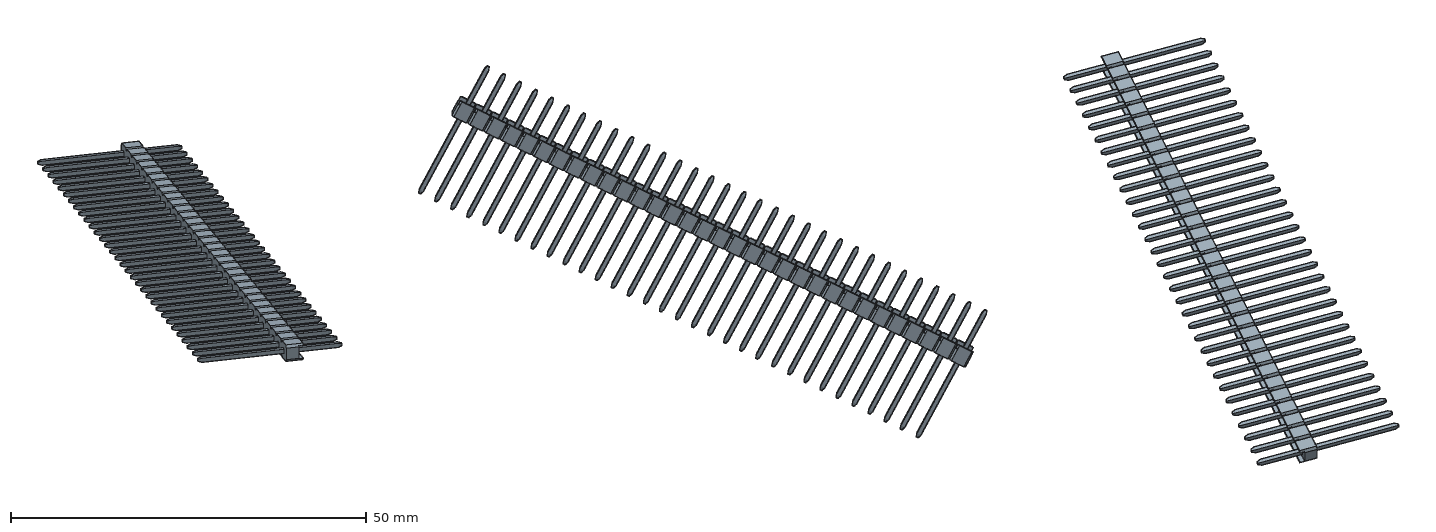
import cadquery as cq

length = 81.3
pin_count = 32
pitch = length / pin_count

body_height = 2.5
body_depth = 2.5
slant_width = 0.29
groove_depth = 0.39
half_height = body_height / 2
groove_level = half_height - groove_depth

channel_depth = 0.65
channel_overlap = 0.1
channel_height = 2 * (groove_level + channel_overlap)

pin_width = 0.64
pin_length = 21.1
back_reach = 6.0
taper_length = 0.6
tip_width = 0.3
pin_offset = -0.1

pin_back = body_depth / 2 + back_reach
pin_front = pin_back - pin_length


def make_body():
    """Row of cells extruded along Y, with the channel cut from the back face."""
    top_edge = [(-length / 2, groove_level)]
    for i in range(pin_count):
        left = i * pitch - length / 2
        right = left + pitch
        top_edge.append((left + slant_width, half_height))
        top_edge.append((right - slant_width, half_height))
        top_edge.append((right, groove_level))
    bottom_edge = [(x, -z) for x, z in reversed(top_edge)]
    outline = top_edge + bottom_edge
    row = cq.Workplane("XZ").polyline(outline).close().extrude(body_depth / 2, both=True)

    channel = cq.Workplane("XY").box(length, channel_depth, channel_height)
    return row.cut(channel.translate((0, (body_depth - channel_depth) / 2, 0)))


def make_pin():
    """Square pin along Y on X = 0, tapered at both ends."""
    half_width = pin_width / 2
    half_tip = tip_width / 2
    profile = [
        (half_tip, pin_front),
        (half_width, pin_front + taper_length),
        (half_width, pin_back - taper_length),
        (half_tip, pin_back),
    ]
    outline = profile + [(-across, along) for across, along in reversed(profile)]
    plan = cq.Workplane("XY").polyline(outline).close().extrude(half_width, both=True)
    side_outline = [(along, across) for across, along in outline]
    side = cq.Workplane("YZ").polyline(side_outline).close().extrude(half_width, both=True)
    return plan.intersect(side)


pin = make_pin().val()
pins = []
for i in range(pin_count):
    x = (i + 0.5) * pitch - length / 2 + pin_offset
    pins.append(pin.translate(cq.Vector(x, 0, 0)))

result = cq.Workplane(make_body().val().fuse(*pins))